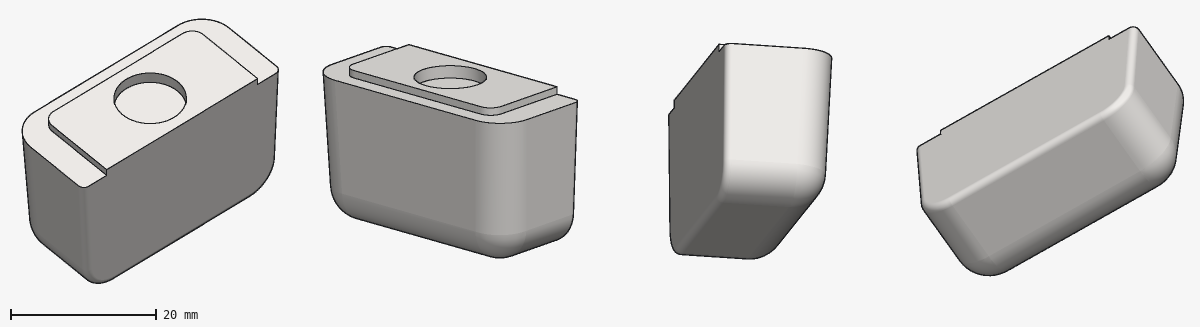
import cadquery as cq

depth = 16.0
length = 36.1
body_height = 21.3
draft_angle = 2.5
corner_radius = 5.0
back_edge_radius = 0.97

pad_height = 1.1
pad_depth = 13.5
pad_length = 27.5
pad_corner_radius = 2.0
recess_diameter = 10.0
recess_depth = 1.8


def drafted_body():
    """Block whose front and end walls lean inward towards the underside."""
    block = (
        cq.Workplane("XY")
        .workplane(offset=body_height)
        .rect(2 * depth, length)
        .extrude(-body_height, taper=draft_angle)
    )
    front_half = cq.Workplane("XY").box(
        depth, length, body_height, centered=(False, True, False)
    ).translate((-depth, 0, 0))
    block = block.intersect(front_half)

    corners = block.faces("<X").edges("not #Z")
    lower_edges = block.faces("<Z").edges("not >X")
    block = corners.add(lower_edges).fillet(corner_radius)

    return block.faces(">X").edges("not >Z").fillet(back_edge_radius)


def pad():
    """Raised plate, flush with the back face, rounded at its front corners."""
    return (
        cq.Workplane("XY")
        .box(pad_depth, pad_length, pad_height, centered=(False, True, False))
        .edges("|Z and <X")
        .fillet(pad_corner_radius)
        .translate((-pad_depth, 0, body_height))
    )


def recess():
    """Round pocket tool centred on the pad."""
    return (
        cq.Workplane("XY")
        .workplane(offset=body_height + pad_height)
        .center(-pad_depth / 2, 0)
        .circle(recess_diameter / 2)
        .extrude(-recess_depth)
    )


result = drafted_body().union(pad()).cut(recess())